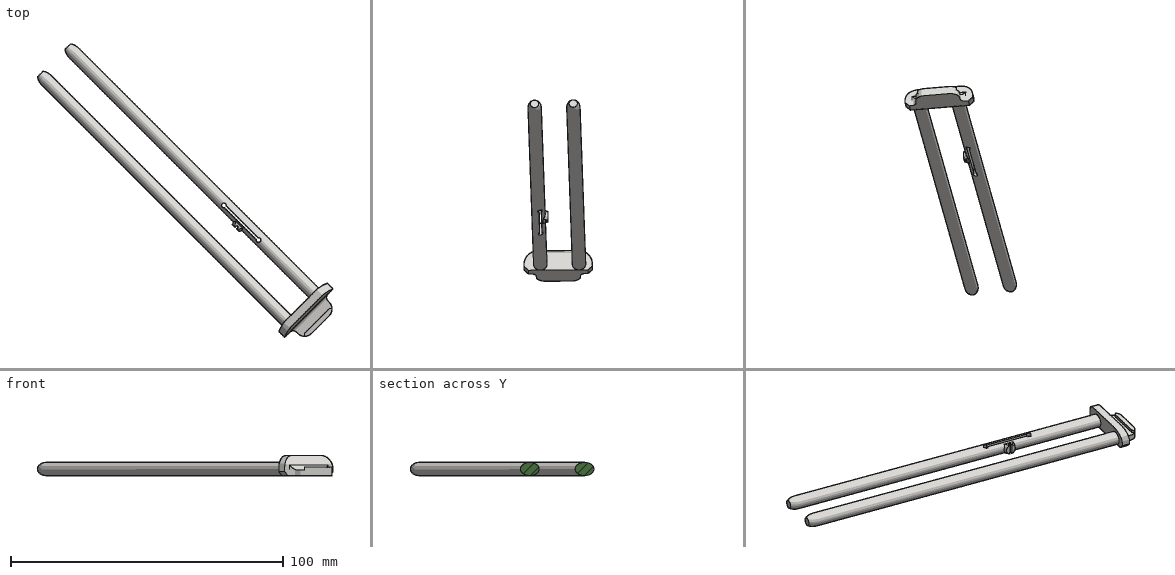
import cadquery as cq
import math

TURN_ANGLE = -45.0

ROD_RADIUS = 2.5
ROD_AXIS_Z = ROD_RADIUS
ROD_SPACING = 14.2
ROD_OFFSET = -0.5
ROD_END_X = -128.8
TIP_LENGTH = 3.1
TIP_RADIUS = 1.5
TIP_MID_RADIUS = 2.3
LEFT_ROD_Y = ROD_OFFSET + ROD_SPACING / 2
RIGHT_ROD_Y = ROD_OFFSET - ROD_SPACING / 2

PLATE_THICKNESS = 3.0
PLATE_HALF_WIDTH = 12.6
PLATE_HEIGHT = 7.5
PLATE_LEAN = 1.1
END_FLAT_BOTTOM_Z = 1.6
END_FLAT_TOP_Z = ROD_AXIS_Z
END_RADIUS = PLATE_HEIGHT - END_FLAT_TOP_Z

HANDLE_END_X = 9.0
HANDLE_HALF_WIDTH = 8.1
HANDLE_HEIGHT = 2.2
HANDLE_CORNER_RADIUS = 3.5
ROOT_RADIUS = 1.8
LIP_HEIGHT = 3.1
LIP_WIDTH = 1.8
LIP_HALF_LENGTH = 6.5

CATCH_X = -38.0
SLOT_SPAN = 18.0
SLOT_WIDTH = 0.9
SLOT_HOLE_DIAMETER = 1.6
SLOT_Y = LEFT_ROD_Y - 0.7
BUMP_BASE_RADIUS = 2.7
BUMP_TIP_RADIUS = 1.8
BUMP_BASE_DEPTH = 1.4
BUMP_PROTRUSION = 1.0
BUMP_GROOVE = 0.8
BUMP_HEIGHT = 3.7


def make_rod(y):
    """Round rod with a rounded, blunt tip, running into the plate."""
    shoulder_x = ROD_END_X + TIP_LENGTH
    root_x = PLATE_THICKNESS / 2
    return (
        cq.Workplane("XY")
        .moveTo(ROD_END_X, 0)
        .lineTo(ROD_END_X, TIP_RADIUS)
        .threePointArc((ROD_END_X + TIP_LENGTH / 2, TIP_MID_RADIUS), (shoulder_x, ROD_RADIUS))
        .lineTo(root_x, ROD_RADIUS)
        .lineTo(root_x, 0)
        .close()
        .revolve(360, (0, 0, 0), (1, 0, 0))
        .translate((0, y, ROD_AXIS_Z))
    )


def make_plate():
    """Bowed plate, trimmed to its rounded end outline."""
    rise = PLATE_HEIGHT - ROD_AXIS_Z
    bow_radius = (rise ** 2 + PLATE_LEAN ** 2) / (2 * PLATE_LEAN)
    mid_z = rise / 2
    mid_lean = bow_radius - math.sqrt(bow_radius ** 2 - mid_z ** 2)
    arc_mid_z = ROD_AXIS_Z + mid_z
    bowed = (
        cq.Workplane("XZ")
        .lineTo(PLATE_THICKNESS, 0)
        .lineTo(PLATE_THICKNESS, ROD_AXIS_Z)
        .threePointArc(
            (PLATE_THICKNESS - mid_lean, arc_mid_z),
            (PLATE_THICKNESS - PLATE_LEAN, PLATE_HEIGHT),
        )
        .lineTo(-PLATE_LEAN, PLATE_HEIGHT)
        .threePointArc((-mid_lean, arc_mid_z), (0, ROD_AXIS_Z))
        .close()
        .extrude(PLATE_HALF_WIDTH, both=True)
    )
    bottom_half = PLATE_HALF_WIDTH - END_FLAT_BOTTOM_Z
    top_half = PLATE_HALF_WIDTH - END_RADIUS
    arc_mid = END_RADIUS * math.sqrt(0.5)
    arc_mid_y = top_half + arc_mid
    end_arc_mid_z = END_FLAT_TOP_Z + arc_mid
    outline = (
        cq.Workplane("YZ")
        .moveTo(-bottom_half, 0)
        .lineTo(bottom_half, 0)
        .lineTo(PLATE_HALF_WIDTH, END_FLAT_BOTTOM_Z)
        .lineTo(PLATE_HALF_WIDTH, END_FLAT_TOP_Z)
        .threePointArc((arc_mid_y, end_arc_mid_z), (top_half, PLATE_HEIGHT))
        .lineTo(-top_half, PLATE_HEIGHT)
        .threePointArc((-arc_mid_y, end_arc_mid_z), (-PLATE_HALF_WIDTH, END_FLAT_TOP_Z))
        .lineTo(-PLATE_HALF_WIDTH, END_FLAT_BOTTOM_Z)
        .close()
        .extrude(2 * PLATE_THICKNESS, both=True)
    )
    return bowed.intersect(outline)


def make_handle():
    """Flat tab with a flared, filleted root and a raised lip along its end."""
    root_x = PLATE_THICKNESS / 2
    land_x = PLATE_THICKNESS + ROOT_RADIUS
    root_top_z = HANDLE_HEIGHT + ROOT_RADIUS
    lip_x = HANDLE_END_X - LIP_WIDTH
    arc_mid = ROOT_RADIUS * (1 - math.sqrt(0.5))
    profile = (
        cq.Workplane("XZ")
        .moveTo(root_x, 0)
        .lineTo(HANDLE_END_X, 0)
        .lineTo(HANDLE_END_X, HANDLE_HEIGHT)
        .lineTo(land_x, HANDLE_HEIGHT)
        .threePointArc(
            (PLATE_THICKNESS + arc_mid, HANDLE_HEIGHT + arc_mid),
            (PLATE_THICKNESS, root_top_z),
        )
        .lineTo(root_x, root_top_z)
        .close()
        .extrude(PLATE_HALF_WIDTH, both=True)
    )
    lip_end_half = LIP_HALF_LENGTH + LIP_WIDTH
    lip = (
        cq.Workplane("XY")
        .moveTo(lip_x, -LIP_HALF_LENGTH)
        .lineTo(HANDLE_END_X, -lip_end_half)
        .lineTo(HANDLE_END_X, lip_end_half)
        .lineTo(lip_x, LIP_HALF_LENGTH)
        .close()
        .extrude(LIP_HEIGHT)
    )
    tab = (
        cq.Workplane("XY")
        .moveTo((root_x + HANDLE_END_X) / 2, 0)
        .rect(HANDLE_END_X - root_x, 2 * HANDLE_HALF_WIDTH)
        .extrude(PLATE_HEIGHT)
        .edges("|Z and >X")
        .fillet(HANDLE_CORNER_RADIUS)
    )
    inner_half = HANDLE_HALF_WIDTH - HANDLE_CORNER_RADIUS
    for side in (-1, 1):
        flare = (
            cq.Workplane("XY")
            .moveTo(root_x, side * inner_half)
            .lineTo(land_x, side * inner_half)
            .lineTo(land_x, side * HANDLE_HALF_WIDTH)
            .threePointArc(
                (PLATE_THICKNESS + arc_mid, side * (HANDLE_HALF_WIDTH + arc_mid)),
                (PLATE_THICKNESS, side * (HANDLE_HALF_WIDTH + ROOT_RADIUS)),
            )
            .lineTo(root_x, side * (HANDLE_HALF_WIDTH + ROOT_RADIUS))
            .close()
            .extrude(PLATE_HEIGHT)
        )
        tab = tab.union(flare)
    return profile.union(lip).intersect(tab)


def make_bump():
    """Tapered round catch on the inner side of the left rod, split by a groove."""
    height = ROD_RADIUS + BUMP_PROTRUSION - BUMP_BASE_DEPTH
    bump = (
        cq.Workplane("XZ", origin=(CATCH_X, LEFT_ROD_Y - BUMP_BASE_DEPTH, ROD_AXIS_Z))
        .circle(BUMP_BASE_RADIUS)
        .workplane(offset=height)
        .circle(BUMP_TIP_RADIUS)
        .loft()
    )
    band = cq.Workplane("XY").box(2 * BUMP_BASE_RADIUS, 4 * ROD_RADIUS, BUMP_HEIGHT).translate(
        (CATCH_X, LEFT_ROD_Y - ROD_RADIUS, ROD_AXIS_Z)
    )
    groove = cq.Workplane("XY").box(BUMP_GROOVE, BUMP_PROTRUSION, 2 * ROD_RADIUS).translate(
        (CATCH_X, LEFT_ROD_Y - ROD_RADIUS - BUMP_PROTRUSION / 2, ROD_AXIS_Z)
    )
    return bump.intersect(band).cut(groove)


def make_slot():
    """Vertical through slot with a wider round hole at each end."""
    base = cq.Workplane("XY", origin=(CATCH_X, SLOT_Y, 0))
    slit = base.rect(SLOT_SPAN, SLOT_WIDTH).extrude(2 * ROD_RADIUS)
    holes = (
        base.pushPoints([(-SLOT_SPAN / 2, 0), (SLOT_SPAN / 2, 0)])
        .circle(SLOT_HOLE_DIAMETER / 2)
        .extrude(2 * ROD_RADIUS)
    )
    return slit.union(holes)


part = make_plate().union(make_handle())
for rod_y in (LEFT_ROD_Y, RIGHT_ROD_Y):
    part = part.union(make_rod(rod_y))
part = part.union(make_bump()).cut(make_slot())

result = part.rotate((0, 0, 0), (0, 0, 1), TURN_ANGLE)